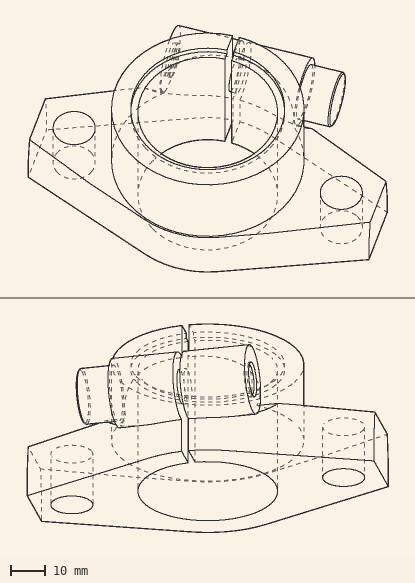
import cadquery as cq
import math

length = 102.0
flange_height = 16.0
flange_radius = 28.0
end_half_width = 9.0
hole_diameter = 12.0
hole_offset = 40.0

facet_start_height = 7.5
facet_inset = 1.2
left_facet_length = 21.2
right_facet_length = 26.7

total_height = 40.0
collar_radius = 27.5
bore_radius = 20.0
counterbore_radius = 22.0
counterbore_depth = 1.6
slot_width = 2.0

boss_radius = 10.0
boss_half_length = 20.1
clamp_y = 67.0 - flange_radius - boss_radius
clamp_z = total_height / 2
shank_radius = 5.0
shank_recess = 0.6
shank_chamfer = 0.7
head_radius = 8.1
head_length = 9.9
head_chamfer = 0.4

half_length = length / 2

corner_distance = math.hypot(half_length, end_half_width)
tangent_angle = math.atan2(end_half_width, half_length) + math.acos(flange_radius / corner_distance)
tangent_x = flange_radius * math.cos(tangent_angle)
tangent_y = flange_radius * math.sin(tangent_angle)
side_slope = (tangent_y - end_half_width) / (half_length - tangent_x)


def x_cylinder(radius, x_start, x_end):
    """Cylinder along X on the clamp axis."""
    plane = cq.Plane(origin=(x_start, clamp_y, clamp_z), xDir=(0, 1, 0), normal=(1, 0, 0))
    return cq.Workplane(plane).circle(radius).extrude(x_end - x_start)


def corner_facet(facet_length):
    """Tetrahedron removed from the upper corner at +X, -Y."""
    apex = cq.Vector(half_length, -end_half_width, flange_height)
    below = cq.Vector(half_length, -end_half_width, facet_start_height)
    inside = cq.Vector(half_length, -end_half_width + facet_inset, flange_height)
    along_y = -end_half_width - side_slope * facet_length
    along = cq.Vector(half_length - facet_length, along_y, flange_height)
    triangles = [(apex, below, inside), (apex, inside, along), (apex, along, below), (below, along, inside)]
    faces = [cq.Face.makeFromWires(cq.Wire.makePolygon(list(t), close=True)) for t in triangles]
    return cq.Workplane(cq.Solid.makeSolid(cq.Shell.makeShell(faces)))


def make_flange():
    flange = (
        cq.Workplane("XY")
        .moveTo(half_length, -end_half_width)
        .lineTo(half_length, end_half_width)
        .lineTo(tangent_x, tangent_y)
        .threePointArc((0, flange_radius), (-tangent_x, tangent_y))
        .lineTo(-half_length, end_half_width)
        .lineTo(-half_length, -end_half_width)
        .lineTo(-tangent_x, -tangent_y)
        .threePointArc((0, -flange_radius), (tangent_x, -tangent_y))
        .close()
        .extrude(flange_height)
    )
    left_facet = corner_facet(left_facet_length).mirror("YZ")
    right_facet = corner_facet(right_facet_length)
    for facet in (left_facet, right_facet):
        flange = flange.cut(facet).cut(facet.mirror("XZ"))
    flange = flange.cut(x_cylinder(boss_radius, -half_length, half_length))
    holes = (
        cq.Workplane("XY")
        .pushPoints([(-hole_offset, 0), (hole_offset, 0)])
        .circle(hole_diameter / 2)
        .extrude(flange_height)
    )
    return flange.cut(holes)


def make_screw():
    """Screw whose shank bridges the slot and whose head rests on the +X boss end."""
    shank = x_cylinder(shank_radius, shank_recess - boss_half_length, boss_half_length)
    shank = shank.faces("<X").chamfer(shank_chamfer)
    head = x_cylinder(head_radius, boss_half_length, boss_half_length + head_length)
    head = head.faces(">X").edges().chamfer(head_chamfer)
    return shank.union(head)


collar = cq.Workplane("XY").circle(collar_radius).extrude(total_height)
boss = x_cylinder(boss_radius, -boss_half_length, boss_half_length)
body = make_flange().union(collar).union(boss)

bore = cq.Workplane("XY").circle(bore_radius).extrude(total_height)
counterbore = (
    cq.Workplane("XY")
    .workplane(offset=total_height - counterbore_depth)
    .circle(counterbore_radius)
    .extrude(counterbore_depth)
)
body = body.cut(bore).cut(counterbore)

slot_length = clamp_y + boss_radius
slot = cq.Workplane("XY").box(slot_width, slot_length, total_height, centered=(True, False, False))
screw_hole = x_cylinder(shank_radius, -boss_half_length, boss_half_length)
body = body.cut(slot).cut(screw_hole)

result = body.union(make_screw())